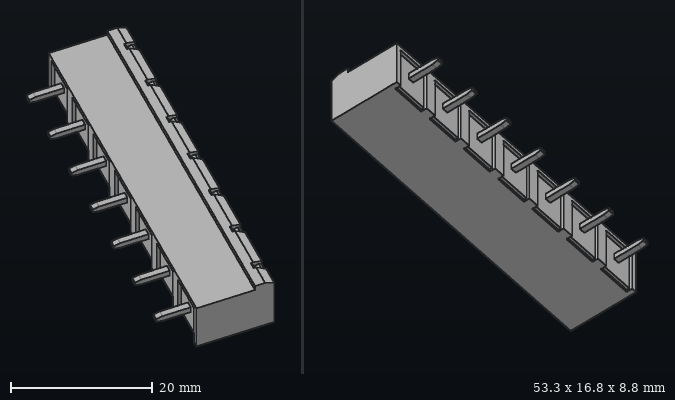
import cadquery as cq

body_length = 53.3
body_depth = 12.0
body_height = 8.0

ridge_depth = 3.0
ridge_height = 0.8
bevel_run = 1.45
bevel_drop = 0.6

pole_count = 7
pole_pitch = 7.6

pocket_width = 5.75
pocket_height = 7.2
pocket_depth = 0.55
undercut_height = 0.4
undercut_depth = 0.5

pin_size = 1.0
pin_center_z = 4.2
pin_reach = 4.8
tip_length = 0.95
tip_height = 0.55

notch_back_width = 1.6
notch_front_width = 0.95
notch_length = 1.8
notch_depth = 1.0
notch_floor_radius = 2.1
notch_front_run = 0.65
notch_lead_run = 0.5
notch_lead_drop = 0.35

top_z = body_height + ridge_height
pole_positions = [(i - (pole_count - 1) / 2) * pole_pitch for i in range(pole_count)]


def extrude_across(points, width, center_x):
    """Extrude a (Y, Z) outline along X, centred on center_x."""
    return (
        cq.Workplane("YZ", origin=(center_x, 0, 0))
        .polyline(points)
        .close()
        .extrude(width / 2, both=True)
    )


def make_housing():
    outline = [
        (0, 0),
        (body_depth, 0),
        (body_depth, top_z - bevel_drop),
        (body_depth - bevel_run, top_z),
        (body_depth - ridge_depth, top_z),
        (body_depth - ridge_depth, body_height),
        (0, body_height),
    ]
    return extrude_across(outline, body_length, 0)


def make_pocket(center_x):
    """Shallow front pocket whose lowest strip is set further back."""
    undercut_back = pocket_depth + undercut_depth
    outline = [
        (0, 0),
        (undercut_back, 0),
        (undercut_back, undercut_height),
        (pocket_depth, undercut_height),
        (pocket_depth, pocket_height),
        (0, pocket_height),
    ]
    return extrude_across(outline, pocket_width, center_x)


def make_pin(center_x):
    """Pin from the pocket floor out past the front face."""
    half = pin_size / 2
    tip_half = tip_height / 2
    taper_start = tip_length - pin_reach
    outline = [
        (pocket_depth, pin_center_z - half),
        (pocket_depth, pin_center_z + half),
        (taper_start, pin_center_z + half),
        (-pin_reach, pin_center_z + tip_half),
        (-pin_reach, pin_center_z - tip_half),
        (taper_start, pin_center_z - half),
    ]
    return extrude_across(outline, pin_size, center_x)


def make_notch_floor():
    """Shallow round channel along Y at X = 0, flaring into a cone at the back face."""
    axis_z = top_z - notch_depth + notch_floor_radius
    front_y = body_depth - notch_length
    lead_y = body_depth - notch_lead_run
    flare_radius = notch_floor_radius + notch_lead_drop
    half_profile = [
        (front_y, axis_z),
        (front_y, axis_z - notch_floor_radius),
        (lead_y, axis_z - notch_floor_radius),
        (body_depth, axis_z - flare_radius),
        (body_depth, axis_z),
    ]
    return (
        cq.Workplane("YZ")
        .polyline(half_profile)
        .close()
        .revolve(360, (front_y, axis_z), (body_depth, axis_z))
    )


def make_notch(center_x):
    """Notch with tapered side walls, a flat sloped front end and a round floor."""
    floor_z = top_z - notch_depth
    front_y = body_depth - notch_length
    slope_end_y = front_y + notch_front_run
    side_outline = [
        (front_y, top_z),
        (slope_end_y, floor_z),
        (slope_end_y, 0),
        (body_depth, 0),
        (body_depth, top_z),
    ]
    plan = [
        (center_x - notch_front_width / 2, front_y),
        (center_x + notch_front_width / 2, front_y),
        (center_x + notch_back_width / 2, body_depth),
        (center_x - notch_back_width / 2, body_depth),
    ]
    side_walls = cq.Workplane("XY").polyline(plan).close().extrude(top_z)
    front_end = extrude_across(side_outline, notch_back_width, center_x)
    floor = make_notch_floor().translate((center_x, 0, 0))
    return front_end.intersect(side_walls).intersect(floor)


result = make_housing()
for x in pole_positions:
    result = result.cut(make_pocket(x))
    result = result.cut(make_notch(x))
    result = result.union(make_pin(x))